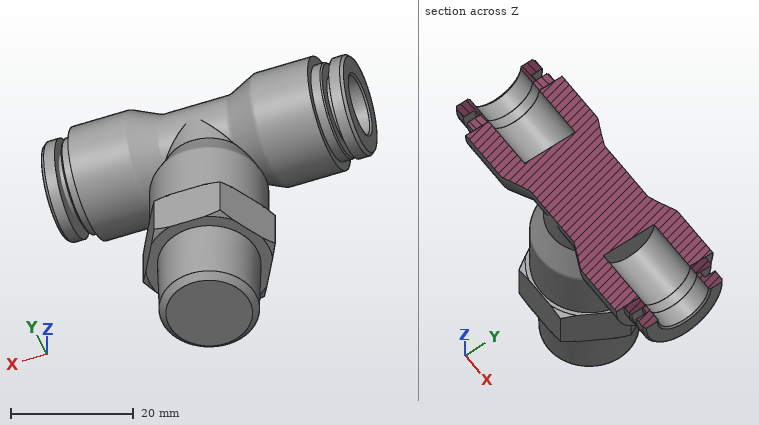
import cadquery as cq
import math

overall_length = 52.8
overall_height = 50.75

barrel_diameter = 19.5
waist_diameter = 15.0
arm_length = 20.95
waist_end = 6.0
barrel_start = 11.0
blend_radius = 1.0

ring_diameter = 16.5
ring_bore_diameter = 10.2
ring_length = 1.85
ring_chamfer = 0.25
ring_face = arm_length + ring_length

sleeve_end = overall_length / 2
sleeve_length = sleeve_end - ring_face
sleeve_bore_diameter = 10.15
bore_chamfer = 0.3
neck_diameter = 11.7
neck_fillet = 0.1
flange_width = 15.95
flange_height = 18.6
flange_thickness = 2.45
flange_start = sleeve_end - flange_thickness

bevel_length = 0.55
flange_face_width = 15.25
flange_face_height = 17.55

socket_diameter = sleeve_bore_diameter
socket_depth = arm_length - barrel_start

hex_across_flats = 20.0
hex_corner_radius = hex_across_flats / math.sqrt(3)
hex_height = 8.0
hex_chamfer_diameter = 20.9
hex_chamfer_height = 0.55
hex_top = -arm_length
hex_bottom = hex_top - hex_height
thread_root_diameter = 16.95
thread_tip_diameter = 16.4
thread_end_diameter = 14.15
thread_chamfer_height = 1.05
thread_end = barrel_diameter / 2 - overall_height


def revolve_about_z(points):
    """Solid of revolution about Z from (radius, height) points."""
    return cq.Workplane("XZ").polyline(points).close().revolve(360, (0, 0, 0), (0, 1, 0))


def cylinder_along_x(start, length, diameter):
    return cq.Workplane("YZ", origin=(start, 0, 0)).circle(diameter / 2).extrude(length)


def make_arm(turn, blend_heights):
    """Arm profile revolved along +Z, blended at the given heights, then turned about Y."""
    arm = revolve_about_z([
        (0, 0),
        (waist_diameter / 2, 0),
        (waist_diameter / 2, waist_end),
        (barrel_diameter / 2, barrel_start),
        (barrel_diameter / 2, arm_length),
        (0, arm_length),
    ])
    for height in blend_heights:
        corner = cq.selectors.NearestToPointSelector((0, 0, height))
        arm = arm.edges(corner).fillet(blend_radius)
    return arm.rotate((0, 0, 0), (0, 1, 0), turn)


def make_tee():
    tee = make_arm(180, [barrel_start])
    for turn in (-90, 90):
        tee = tee.union(make_arm(turn, [barrel_start, waist_end]))
    for side in (-1, 1):
        socket = cylinder_along_x(side * barrel_start, side * socket_depth, socket_diameter)
        tee = tee.cut(socket)
    return tee


def make_guide_ring():
    """Guide ring on the +X arm, chamfered at its outer end."""
    ring = cylinder_along_x(arm_length, ring_length, ring_diameter)
    ring = ring.faces(">X").edges().chamfer(ring_chamfer)
    return ring.cut(cylinder_along_x(arm_length, ring_length, ring_bore_diameter))


def make_flange():
    """Oval flange at the +X end, bevelled around its outer face."""
    flange = (
        cq.Workplane("YZ", origin=(flange_start, 0, 0))
        .ellipse(flange_width / 2, flange_height / 2)
        .extrude(flange_thickness - bevel_length)
    )
    bevel = (
        cq.Workplane("YZ", origin=(sleeve_end - bevel_length, 0, 0))
        .ellipse(flange_width / 2, flange_height / 2)
        .workplane(offset=bevel_length)
        .ellipse(flange_face_width / 2, flange_face_height / 2)
        .loft(ruled=True)
    )
    return flange.union(bevel)


def make_release_sleeve():
    """Release sleeve on the +X guide ring: round neck, oval flange and through bore."""
    sleeve = cylinder_along_x(ring_face, sleeve_length, neck_diameter).union(make_flange())
    neck_corner = cq.selectors.NearestToPointSelector((flange_start, 0, 0))
    sleeve = sleeve.edges("%CIRCLE").edges(neck_corner).fillet(neck_fillet)
    sleeve = sleeve.cut(cylinder_along_x(ring_face, sleeve_length, sleeve_bore_diameter))
    return sleeve.faces(">X").edges("%CIRCLE").chamfer(bore_chamfer)


def make_stud():
    hexagon = (
        cq.Workplane("XY", origin=(0, 0, hex_bottom))
        .polygon(6, 2 * hex_corner_radius)
        .extrude(hex_height)
    )
    corner_trim = revolve_about_z([
        (0, hex_bottom),
        (hex_chamfer_diameter / 2, hex_bottom),
        (hex_corner_radius, hex_bottom + hex_chamfer_height),
        (hex_corner_radius, hex_top - hex_chamfer_height),
        (hex_chamfer_diameter / 2, hex_top),
        (0, hex_top),
    ])
    thread = revolve_about_z([
        (0, hex_bottom),
        (thread_root_diameter / 2, hex_bottom),
        (thread_tip_diameter / 2, thread_end + thread_chamfer_height),
        (thread_end_diameter / 2, thread_end),
        (0, thread_end),
    ])
    return hexagon.intersect(corner_trim).union(thread)


tee = make_tee()
stud = make_stud()
guide_rings = []
release_sleeves = []
for angle in (0, 180):
    guide_rings.append(make_guide_ring().rotate((0, 0, 0), (0, 0, 1), angle).solids().val())
    release_sleeves.append(make_release_sleeve().rotate((0, 0, 0), (0, 0, 1), angle).solids().val())

result = cq.Compound.makeCompound([tee.solids().val(), stud.solids().val(), *guide_rings, *release_sleeves])